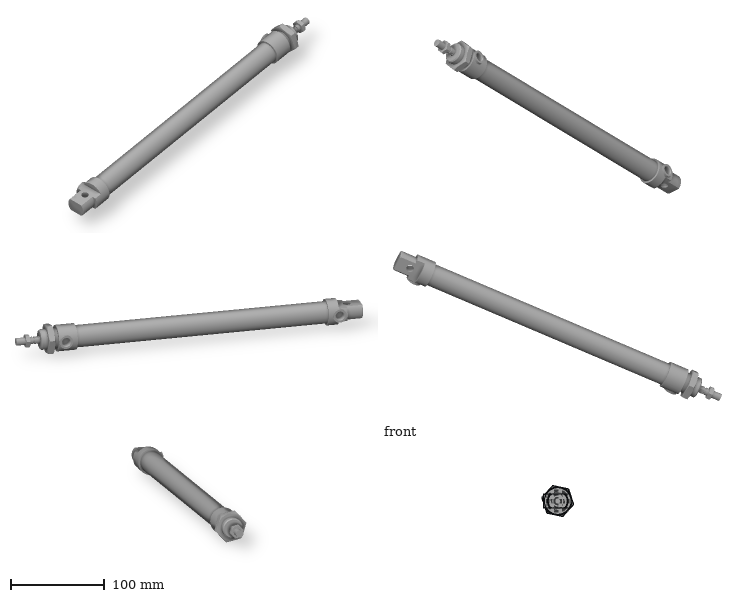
import cadquery as cq
import math

length = 380.0

tang_hole_y = 15.2
rear_flat_end_y = 27.0
rear_cap_start_y = 18.0
rear_cap_end_y = 38.8
front_cap_start_y = 315.5
front_cap_end_y = 336.0
bush_end_y = 354.0

tube_diameter = 24.0
cap_diameter = 28.5
bush_diameter = 22.0
bush_chamfer = 1.0
tang_diameter = bush_diameter
tang_thickness = 15.2
tang_chamfer = 0.8
tang_hole_diameter = 8.0

port_ys = (26.5, 328.5)
boss_diameter = 15.0
boss_reach = 15.2
port_diameter = 8.7
port_chamfer = 0.8
port_depth = 6.0

rod_diameter = 8.0
neck_diameter = 6.5
thread_length = 18.0
neck_length = 2.0
wrench_flat_width = 7.0
wrench_flat_length = 4.5
rod_end_y = front_cap_start_y

nut_angle = 12.0
mount_nut_flats = 30.0
mount_nut_thickness = 7.0
mount_nut_y = 340.5
mount_nut_bevel_depth = 0.8
rod_nut_flats = 13.0
rod_nut_thickness = 4.5
rod_nut_y = 365.5
rod_nut_bevel_depth = 0.5


def cylinder(diameter, start_y, end_y):
    """Cylinder on the main axis between two Y stations."""
    return (
        cq.Workplane("XZ", origin=(0, start_y, 0))
        .circle(diameter / 2)
        .extrude(start_y - end_y)
    )


def slabs_outside(thickness, width, start_y, end_y):
    """Two blocks above and below a central slab, used to cut parallel flats."""
    span_y = end_y - start_y
    middle_y = (start_y + end_y) / 2
    return (
        cq.Workplane("XY", origin=(0, middle_y, 0))
        .box(width, span_y, thickness + 2 * width)
        .cut(cq.Workplane("XY", origin=(0, middle_y, 0)).box(width, span_y, thickness))
    )


def make_tang():
    """Rear tang with its end chamfer; it runs into the rear cap."""
    return cylinder(tang_diameter, 0, rear_cap_end_y).faces("<Y").chamfer(tang_chamfer)


def make_bush():
    """Front mounting bush that carries the large nut."""
    bush = cylinder(bush_diameter, front_cap_end_y, bush_end_y)
    return bush.faces(">Y").chamfer(bush_chamfer)


def make_boss(port_y):
    """Round port boss standing out of a cap toward -X."""
    return (
        cq.Workplane("YZ", origin=(-boss_reach, port_y, 0))
        .circle(boss_diameter / 2)
        .extrude(boss_reach)
    )


def make_port(port_y):
    """Blind port bore with a countersunk mouth."""
    mouth = cq.Workplane("YZ", origin=(-boss_reach, port_y, 0))
    bore = mouth.circle(port_diameter / 2).extrude(port_depth)
    countersink = (
        mouth.circle(port_diameter / 2 + port_chamfer)
        .workplane(offset=port_chamfer)
        .circle(port_diameter / 2)
        .loft(ruled=True)
    )
    return bore.union(countersink)


def make_housing():
    """Tube, both caps, tang and bush as one body."""
    housing = make_tang().union(cylinder(cap_diameter, rear_cap_start_y, rear_cap_end_y))
    housing = housing.cut(slabs_outside(tang_thickness, cap_diameter, 0, rear_flat_end_y))
    housing = housing.union(cylinder(tube_diameter, rear_cap_end_y, front_cap_start_y))
    housing = housing.union(cylinder(cap_diameter, front_cap_start_y, front_cap_end_y))
    housing = housing.union(make_bush())
    for port_y in port_ys:
        housing = housing.union(make_boss(port_y)).cut(make_port(port_y))

    tang_hole = (
        cq.Workplane("XY", origin=(0, tang_hole_y, -tang_thickness / 2))
        .circle(tang_hole_diameter / 2)
        .extrude(tang_thickness)
    )
    rod_bore = cylinder(rod_diameter, rod_end_y, bush_end_y)
    return housing.cut(tang_hole).cut(rod_bore)


def make_rod():
    """Piston rod with wrench flats, a thread undercut and a plain threaded end."""
    neck_end_y = length - thread_length
    neck_start_y = neck_end_y - neck_length
    flat_start_y = neck_start_y - wrench_flat_length
    rod = cylinder(rod_diameter, rod_end_y, neck_start_y)
    rod = rod.cut(slabs_outside(wrench_flat_width, rod_diameter, flat_start_y, neck_start_y))
    rod = rod.union(cylinder(neck_diameter, neck_start_y, neck_end_y))
    return rod.union(cylinder(rod_diameter, neck_end_y, length))


def make_nut(flats, thickness, start_y, bore_diameter, bevel_depth):
    """Hexagon nut whose corners taper on both faces to the circle inside the flats."""
    end_y = start_y + thickness
    corner_radius = flats / math.sqrt(3)
    hexagon = (
        cq.Workplane("XZ", origin=(0, start_y, 0))
        .polygon(6, 2 * corner_radius)
        .extrude(-thickness)
        .rotate((0, 0, 0), (0, 1, 0), nut_angle)
    )
    bevel_envelope = (
        cq.Workplane("XY")
        .moveTo(0, start_y)
        .lineTo(flats / 2, start_y)
        .lineTo(corner_radius, start_y + bevel_depth)
        .lineTo(corner_radius, end_y - bevel_depth)
        .lineTo(flats / 2, end_y)
        .lineTo(0, end_y)
        .close()
        .revolve(360, (0, 0, 0), (0, 1, 0))
    )
    return hexagon.intersect(bevel_envelope).cut(cylinder(bore_diameter, start_y, end_y))


housing = make_housing()
rod = make_rod()
mount_nut = make_nut(
    mount_nut_flats, mount_nut_thickness, mount_nut_y, bush_diameter, mount_nut_bevel_depth
)
rod_nut = make_nut(
    rod_nut_flats, rod_nut_thickness, rod_nut_y, rod_diameter, rod_nut_bevel_depth
)

result = cq.Compound.makeCompound([housing.val(), rod.val(), mount_nut.val(), rod_nut.val()])